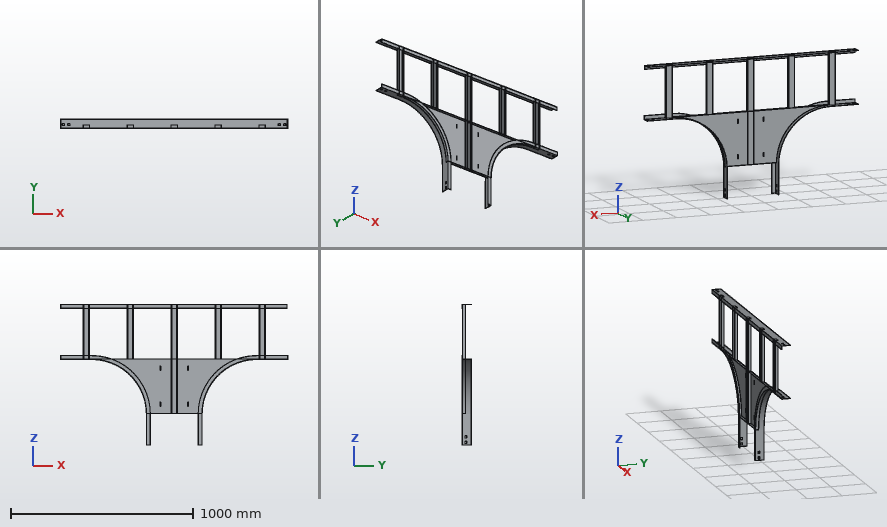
import cadquery as cq


total_length = 1246.0
total_depth = 50.0
total_height = 772.6
front_y = -total_depth / 2
back_y = total_depth / 2
top_z = total_height / 2
leg_end_z = -total_height / 2
left_x = -total_length / 2

sheet = 1.5
flange_width = 22.0
bend_radius = 300.0
rail_straight = 170.0
rail_reach = rail_straight + bend_radius
back_rail_length = 1242.6

arm_z = leg_end_z + rail_reach
leg_x = left_x + rail_reach
bend_center_x = left_x + rail_straight
bend_center_z = arm_z - bend_radius

joint_slot_length = 11.0
joint_slot_width = 7.5
joint_slot_y = -5.0
joint_slot_end_distances = (15.0, 45.0)

rung_width = 36.0
rung_lip = 6.0
rung_front_y = front_y + sheet
rung_back_y = -6.0
rung_pitch = 241.0

plate_top_z = 87.0
plate_bottom_z = -213.0
plate_edge_depth = 16.5
plate_slot_width = 3.0
plate_slot_length = 22.0
plate_slot_offset_x = 76.0
plate_slot_z = (36.0, -161.5)


def block(x_range, y_range, z_range):
    """Box between the given limits on each axis."""
    size = [high - low for low, high in (x_range, y_range, z_range)]
    corner = (x_range[0], y_range[0], z_range[0])
    return cq.Workplane("XY").box(*size, centered=False).translate(corner)


def extrude_along_y(sketch, start_y, end_y):
    """Extrude an XZ sketch from start_y to end_y."""
    return sketch.extrude(start_y - end_y).translate((0, start_y, 0))


def joint_slot(x, z, along_x):
    """Cutter for one joint slot, crossing the web at (x, z)."""
    half_length = joint_slot_length / 2
    half_width = joint_slot_width / 2
    y_range = (joint_slot_y - half_width, joint_slot_y + half_width)
    along = (-half_length, half_length)
    across = (-2 * sheet, 2 * sheet)
    x_range, z_range = (along, across) if along_x else (across, along)
    return block(x_range, y_range, z_range).translate((x, 0, z))


def back_rail():
    """Straight rail: web on top, flange hanging down at the front."""
    right_x = left_x + back_rail_length
    web = block((left_x, right_x), (front_y, back_y), (top_z - sheet, top_z))
    flange = block((left_x, right_x), (front_y, front_y + sheet), (top_z - flange_width, top_z))
    rail = web.union(flange)
    for distance in joint_slot_end_distances:
        for x in (left_x + distance, right_x - distance):
            rail = rail.cut(joint_slot(x, top_z, True))
    return rail


def bent_strip(width, depth):
    """Strip that follows the left bent rail, grown inward from its outer line."""
    inner_radius = bend_radius + width
    diagonal = 0.5 ** 0.5
    sketch = (
        cq.Workplane("XZ")
        .moveTo(left_x, arm_z)
        .lineTo(bend_center_x, arm_z)
        .threePointArc(
            (bend_center_x + bend_radius * diagonal, bend_center_z + bend_radius * diagonal),
            (leg_x, bend_center_z),
        )
        .lineTo(leg_x, leg_end_z)
        .lineTo(leg_x + width, leg_end_z)
        .lineTo(leg_x + width, bend_center_z)
        .threePointArc(
            (bend_center_x + inner_radius * diagonal, bend_center_z + inner_radius * diagonal),
            (bend_center_x, arm_z + width),
        )
        .lineTo(left_x, arm_z + width)
        .close()
    )
    return extrude_along_y(sketch, front_y, front_y + depth)


def bent_rail():
    """Left bent rail with its joint slots."""
    rail = bent_strip(sheet, total_depth).union(bent_strip(flange_width, sheet))
    for distance in joint_slot_end_distances:
        rail = rail.cut(joint_slot(left_x + distance, arm_z, True))
        rail = rail.cut(joint_slot(leg_x, leg_end_z + distance, False))
    return rail


def rung(x, bottom_z):
    """Lipped channel from bottom_z up to the top of the back rail."""
    half = rung_width / 2
    y_range = (rung_front_y, rung_back_y)
    z_range = (bottom_z, top_z)
    outside = block((-half, half), y_range, z_range)
    cavity = block((-half + sheet, half - sheet), (rung_front_y + sheet, rung_back_y - sheet), z_range)
    mouth = block((-half + rung_lip, half - rung_lip), (rung_front_y, rung_front_y + sheet), z_range)
    return outside.cut(cavity).cut(mouth).translate((x, 0, 0))


def tray_outline(low_z, high_z, start_y, end_y):
    """Slab between two heights, ending inside the webs of the two bends."""
    reach = -bend_center_x
    slab = block((-reach, reach), (start_y, end_y), (low_z, high_z))
    for center_x in (bend_center_x, -bend_center_x):
        circle = cq.Workplane("XZ").center(center_x, bend_center_z).circle(bend_radius + sheet / 2)
        slab = slab.cut(extrude_along_y(circle, start_y, end_y))
    return slab


def tray_plate():
    """Plate at the back of the rungs, with forward edges and four slots."""
    edge_front_y = rung_back_y - plate_edge_depth
    plate = tray_outline(plate_bottom_z, plate_top_z, rung_back_y - sheet, rung_back_y)
    plate = plate.union(tray_outline(plate_top_z - sheet, plate_top_z, edge_front_y, rung_back_y))
    plate = plate.union(tray_outline(plate_bottom_z, plate_bottom_z + sheet, edge_front_y, rung_back_y))
    for side in (-1, 1):
        for z in plate_slot_z:
            sketch = (
                cq.Workplane("XZ")
                .center(side * plate_slot_offset_x, z)
                .rect(plate_slot_width, plate_slot_length)
            )
            plate = plate.cut(extrude_along_y(sketch, rung_back_y - sheet, rung_back_y))
    return plate


rung_bottoms = {
    -2: arm_z,
    -1: plate_top_z - sheet,
    0: plate_bottom_z,
    1: plate_top_z - sheet,
    2: arm_z,
}

left_rail = bent_rail()
result = back_rail().union(left_rail).union(left_rail.mirror("YZ")).union(tray_plate())
for position, rung_bottom in rung_bottoms.items():
    result = result.union(rung(position * rung_pitch, rung_bottom))